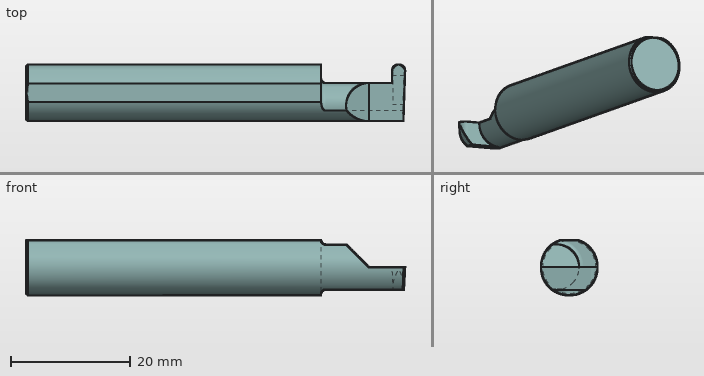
import cadquery as cq
import math

length = 63.5
shank_radius = 4.75
shank_length = 49.4
flat_height = 4.5
end_chamfer = 0.3

neck_radius = 3.8
neck_side = 1.65
neck_center_y = neck_side - neck_radius
neck_fillet = 0.75

head_start = 57.4
finger_width = 2.2
front_clearance_angle = 2.0
side_clearance_angle = 3.0
finger_radius = finger_width / 2
finger_center_x = length - finger_radius
finger_center_y = shank_radius - finger_radius


def cylinder(radius, span):
    """Cylinder along X from the origin."""
    return cq.Workplane("YZ").circle(radius).extrude(span)


def make_bar():
    """Full-length round bar with a chamfered rear end and a flat along the shank."""
    bar = cylinder(shank_radius, length).faces("<X").chamfer(end_chamfer)
    flat_cut = cq.Workplane("XY").box(
        shank_length, 2 * shank_radius, shank_radius, centered=(False, True, False)
    )
    return bar.cut(flat_cut.translate((0, 0, flat_height)))


def make_neck():
    """Eccentric neck that flares into the shank shoulder with a round fillet."""
    fillet_end = shank_length + neck_fillet
    arc_reach = neck_fillet * (1 - math.sqrt(0.5))
    return (
        cq.Workplane("XY")
        .moveTo(shank_length, 0)
        .lineTo(shank_length, neck_radius + neck_fillet)
        .threePointArc(
            (shank_length + arc_reach, neck_radius + arc_reach),
            (fillet_end, neck_radius),
        )
        .lineTo(length, neck_radius)
        .lineTo(length, 0)
        .close()
        .revolve(360, (0, 0, 0), (1, 0, 0))
        .translate((0, neck_center_y, 0))
    )


def make_finger():
    """Round-tipped finger reaching sideways from the neck, narrowing downward."""
    return (
        cq.Workplane("XY")
        .moveTo(length - finger_width, neck_center_y)
        .lineTo(length - finger_width, finger_center_y)
        .threePointArc((finger_center_x, shank_radius), (length, finger_center_y))
        .lineTo(length, neck_center_y)
        .close()
        .extrude(-neck_radius, taper=side_clearance_angle)
    )


def make_top_relief():
    """Space above the head, opening with a 45 degree ramp down from the neck."""
    rise = 2 * shank_radius
    return (
        cq.Workplane("XZ")
        .moveTo(head_start, 0)
        .lineTo(head_start - rise, rise)
        .lineTo(length, rise)
        .lineTo(length, 0)
        .close()
        .extrude(shank_radius, both=True)
    )


def make_front_clearance():
    """Block leaning the front face back, both away from the finger tip and downward."""
    drop = finger_center_y + shank_radius
    setback = drop * math.tan(math.radians(front_clearance_angle))
    block_end = length + shank_radius
    return (
        cq.Workplane("XY")
        .moveTo(length, finger_center_y)
        .lineTo(length - setback, -shank_radius)
        .lineTo(block_end, -shank_radius)
        .lineTo(block_end, finger_center_y)
        .close()
        .extrude(-neck_radius, taper=-side_clearance_angle)
    )


front_end = make_neck().cut(make_top_relief()).union(make_finger()).cut(make_front_clearance())
clearing_size = 4 * shank_radius
front_space = cq.Workplane("XY").box(
    length, clearing_size, clearing_size, centered=(False, True, True)
)
front_space = front_space.translate((shank_length, 0, 0)).cut(front_end)
result = make_bar().cut(front_space)